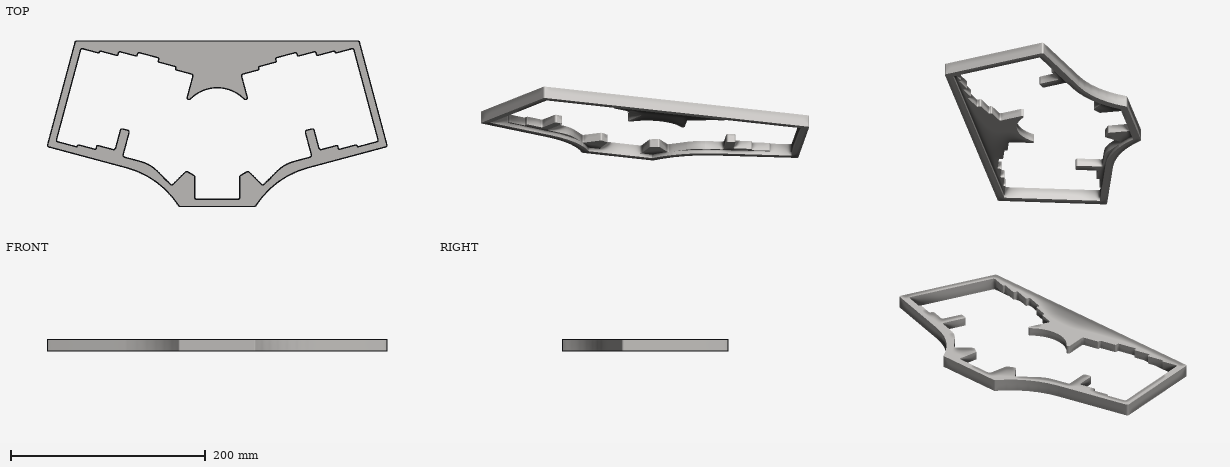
import cadquery as cq
import math

LENGTH = 348.5
DEPTH = 170.0
THICKNESS = 12.2
WALL = 7.5
RECESS_DEPTH = 4.0
CORNER_RADIUS = 2.0

TILT = math.radians(15)
WING_CORNER_Y = 61.7
WING_CORNER_X = -LENGTH / 2 - CORNER_RADIUS * (math.cos(TILT) + math.sin(TILT) - 1)

COLUMN_PITCH = 19.0
COLUMN_SPAN = 98.5
COLUMN_CLEARANCE = 3.0
COLUMN_SHIFTS = [0, 2.5, 7.0, 11.0, 7.0, 4.0]
HIGHEST_COLUMN = COLUMN_SHIFTS.index(max(COLUMN_SHIFTS))
STEP_RADIUS = 1.2

TAB_LEFT = 68.3
TAB_WIDTH = 9.5
TAB_TOP = 37.5
LOWER_WALL_BEYOND_TAB = 10.0

ARC_START_X = -92.7
NOSE_HALF_WIDTH = 39.0

BEND_RADIUS = 36.5
NOTCH_X = -46.7
NOTCH_Y = 21.5
POST_PEAK_X = -31.7
POST_TOP_SLOPE = math.radians(30)
POCKET_HALF_WIDTH = 23.0

BITE_RADIUS = 38.7
BITE_TOP_Y = 122.0


def wing_point(along, across):
    """Convert a position in the left wing's tilted axes to plate X, Y."""
    x = WING_CORNER_X + along * math.cos(TILT) + across * math.sin(TILT)
    y = WING_CORNER_Y - along * math.sin(TILT) + across * math.cos(TILT)
    return (x, y)


def extrude(outline):
    return outline.close().extrude(THICKNESS)


def round_corners(solid, corners, radius):
    """Fillet the vertical edges that stand at the given X, Y corners."""
    edges = []
    for x, y in corners:
        nearest = cq.selectors.NearestToPointSelector((x, y, THICKNESS / 2))
        edges += solid.edges("|Z").edges(nearest).vals()
    return solid.newObject(edges).fillet(radius)


def column_steps(base, columns, edge_offset):
    """Corner pairs of the steps between neighbouring columns, in wing axes."""
    steps = []
    for column in columns:
        along = WALL + column * COLUMN_PITCH + edge_offset
        steps.append((along, base + COLUMN_SHIFTS[column - 1]))
        steps.append((along, base + COLUMN_SHIFTS[column]))
    return steps


def outer_half():
    top_left = wing_point(0, (DEPTH - WING_CORNER_Y) / math.cos(TILT))
    wing_corner = wing_point(0, 0)
    nose = (-NOSE_HALF_WIDTH, 0)

    arc_start = wing_point((ARC_START_X - WING_CORNER_X) / math.cos(TILT), 0)
    outline = (
        cq.Workplane("XY")
        .moveTo(0, DEPTH)
        .lineTo(*top_left)
        .lineTo(*wing_corner)
        .lineTo(*arc_start)
        .tangentArcPoint(nose, relative=False)
        .lineTo(0, 0)
    )
    return round_corners(extrude(outline), [top_left, wing_corner, nose], CORNER_RADIUS)


def opening_half():
    upper_base = WALL + COLUMN_SPAN
    rising = range(1, HIGHEST_COLUMN + 1)
    falling = range(HIGHEST_COLUMN + 1, len(COLUMN_SHIFTS))
    upper_steps = column_steps(upper_base, rising, 0)
    upper_steps += column_steps(upper_base, falling, COLUMN_CLEARANCE)
    fang_along = WALL + len(COLUMN_SHIFTS) * COLUMN_PITCH + COLUMN_CLEARANCE
    fang_root = (fang_along, upper_base + COLUMN_SHIFTS[-1])

    lower_steps = column_steps(WALL, range(1, HIGHEST_COLUMN), COLUMN_CLEARANCE)
    tab = [
        (TAB_LEFT, lower_steps[-1][1]),
        (TAB_LEFT, TAB_TOP),
        (TAB_LEFT + TAB_WIDTH, TAB_TOP),
        (TAB_LEFT + TAB_WIDTH, LOWER_WALL_BEYOND_TAB),
    ]

    bite_center_y = BITE_TOP_Y - BITE_RADIUS
    root_x, root_y = wing_point(*fang_root)
    drop_x, drop_y = -math.sin(TILT), -math.cos(TILT)
    toward = root_x * drop_x + (root_y - bite_center_y) * drop_y
    outside = root_x**2 + (root_y - bite_center_y) ** 2 - BITE_RADIUS**2
    side_length = -toward - math.sqrt(toward**2 - outside)
    fang_tip = (root_x + side_length * drop_x, root_y + side_length * drop_y)
    half_angle = math.atan2(-fang_tip[0], fang_tip[1] - bite_center_y) / 2
    bite_middle = (-BITE_RADIUS * math.sin(half_angle), bite_center_y + BITE_RADIUS * math.cos(half_angle))

    wall_x, wall_y = wing_point(0, LOWER_WALL_BEYOND_TAB)
    bend_x = (NOTCH_X + NOTCH_Y - wall_y - wall_x * math.tan(TILT)) / (1 - math.tan(TILT))
    bend = (bend_x, NOTCH_X + NOTCH_Y - bend_x)

    notch = (NOTCH_X, NOTCH_Y)
    peak = (POST_PEAK_X, NOTCH_Y + POST_PEAK_X - NOTCH_X)
    shoulder_drop = (-POCKET_HALF_WIDTH - POST_PEAK_X) * math.tan(POST_TOP_SLOPE)
    shoulder = (-POCKET_HALF_WIDTH, peak[1] - shoulder_drop)
    pocket_corner = (-POCKET_HALF_WIDTH, WALL)

    upper_left = (WALL, upper_base)
    lower_left = (WALL, WALL)
    post = [notch, peak, shoulder, pocket_corner]
    wing_path = [fang_root] + upper_steps[::-1] + [upper_left, lower_left] + lower_steps + tab
    path = [wing_point(*p) for p in wing_path] + [bend] + post

    outline = cq.Workplane("XY").moveTo(0, BITE_TOP_Y).threePointArc(bite_middle, fang_tip)
    for point in path:
        outline = outline.lineTo(*point)
    opening = extrude(outline.lineTo(0, WALL))

    step_corners = [wing_point(*p) for p in upper_steps + lower_steps]
    wide_corners = [wing_point(*p) for p in [fang_root, upper_left, lower_left] + tab]
    wide_corners += [fang_tip] + post
    opening = round_corners(opening, step_corners, STEP_RADIUS)
    opening = round_corners(opening, wide_corners, CORNER_RADIUS)
    return round_corners(opening, [bend], BEND_RADIUS)


def both_halves(left_half):
    return left_half.union(left_half.mirror("YZ")).clean()


plate = both_halves(outer_half())
rim = plate.faces("<Z").wires().toPending()
recess = rim.offset2D(-WALL, "intersection").extrude(RECESS_DEPTH, combine=False)
result = plate.cut(both_halves(opening_half())).cut(recess)